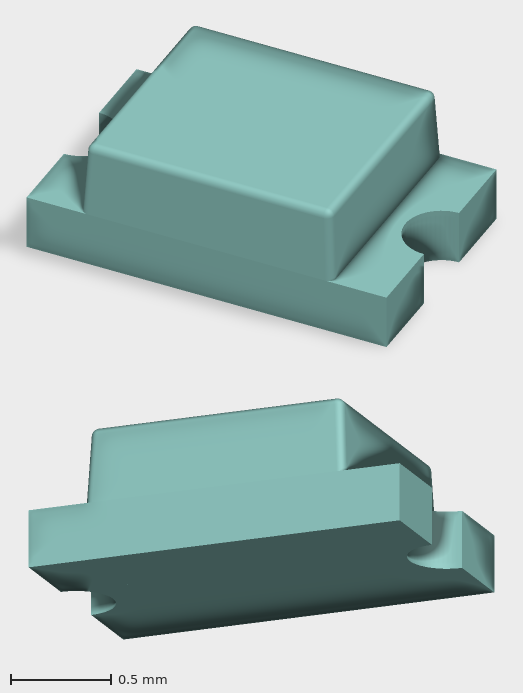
import cadquery as cq

board_length = 2.0
board_width = 1.25
board_height = 0.3
notch_radius = 0.2
end_x = board_length / 2

lens_length = 1.4
lens_height = 0.4
lens_draft_angle = 3.0
lens_fillet = 0.04

layer_thickness = 0.04
terminal_half_width = 0.35
plus_terminal_length = 0.25
foot_length = terminal_half_width
foot_width = 1.0

minus_mask_start = 0.05
minus_strip_start = 0.28
minus_mask_end = 0.35
mask_leg_width = 0.16

plus_mask_width = 0.15

mask_floor = board_height - layer_thickness


def block(x_start, x_end, width, z_start, z_end):
    """Box between two X and two Z positions, centred on Y = 0."""
    length = x_end - x_start
    height = z_end - z_start
    return (
        cq.Workplane("XY")
        .box(length, width, height, centered=(False, True, False))
        .translate((x_start, 0, z_start))
    )


def full_slab():
    """Board outline without notches or recesses."""
    return block(-end_x, end_x, board_width, 0, board_height)


def end_cylinder(x_centre, radius):
    """Upright cylinder of board height centred on one short end."""
    return cq.Workplane("XY").center(x_centre, 0).circle(radius).extrude(board_height)


def make_minus_mask():
    """C-shaped inlay, flush with the board top."""
    outer = block(
        minus_mask_start - end_x, minus_mask_end - end_x, board_width, mask_floor, board_height
    )
    window_width = board_width - 2 * mask_leg_width
    window = block(
        minus_mask_start - end_x, minus_strip_start - end_x, window_width, mask_floor, board_height
    )
    return outer.cut(window)


def make_plus_mask():
    """Straight inlay, flush with the board top."""
    mask_end = end_x - plus_terminal_length
    return block(mask_end - plus_mask_width, mask_end, board_width, mask_floor, board_height)


def make_minus_terminal(mask):
    """Half ring around the notch, with its foot, recessed under the mask strip."""
    ring = end_cylinder(-end_x, terminal_half_width).intersect(full_slab())
    foot = block(-end_x, foot_length - end_x, foot_width, 0, layer_thickness)
    return ring.union(foot).cut(end_cylinder(-end_x, notch_radius)).cut(mask)


def make_plus_terminal():
    """Rectangular block around the notch, with its foot."""
    terminal_width = 2 * terminal_half_width
    body = block(end_x - plus_terminal_length, end_x, terminal_width, 0, board_height)
    foot = block(end_x - foot_length, end_x, foot_width, 0, layer_thickness)
    return body.union(foot).cut(end_cylinder(end_x, notch_radius))


def make_board(inlays):
    """Notched slab with a matching recess for every terminal and mask."""
    slab = full_slab()
    for x_centre in (-end_x, end_x):
        slab = slab.cut(end_cylinder(x_centre, notch_radius))
    for inlay in inlays:
        slab = slab.cut(inlay)
    return slab


def make_lens():
    """Drafted block with rounded upright corners and a rounded top rim."""
    body = (
        cq.Workplane("XY", origin=(0, 0, board_height))
        .rect(lens_length, board_width)
        .extrude(lens_height, taper=lens_draft_angle)
    )
    return body.edges("not(<Z)").fillet(lens_fillet)


minus_mask = make_minus_mask()
plus_mask = make_plus_mask()
minus_terminal = make_minus_terminal(minus_mask)
plus_terminal = make_plus_terminal()
board = make_board([minus_mask, plus_mask, minus_terminal, plus_terminal])
lens = make_lens()

result = cq.Compound.makeCompound([
    board.val(),
    lens.val(),
    minus_terminal.val(),
    plus_terminal.val(),
    minus_mask.val(),
    plus_mask.val(),
])